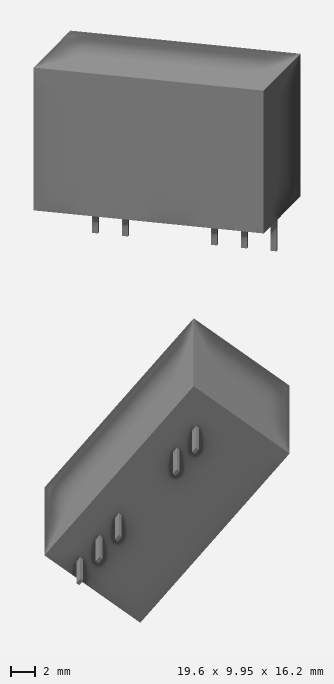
import cadquery as cq

housing_length = 19.65
housing_width = 9.95
overall_height = 16.25
pin_length = 3.99
housing_height = overall_height - pin_length

pin_places = [0, 1, 4, 5, 6]
pin_row_span = 15.25
pin_pitch = pin_row_span / pin_places[-1]
pin_width = 0.51
pin_thickness = 0.3
first_pin_inset = 2.95
pin_row_inset = 2.52
first_pin_x = -housing_length / 2 + first_pin_inset
pin_row_y = housing_width / 2 - pin_row_inset

marker_diameter = 1.5
marker_depth = 0.1
marker_height = 2.12


def make_marker():
    """Thin disc whose outer face lies in the front face of the housing."""
    return (
        cq.Workplane("XZ", origin=(first_pin_x, -housing_width / 2, marker_height))
        .circle(marker_diameter / 2)
        .extrude(-marker_depth)
    )


def make_housing(marker):
    """Plain block with a recess that holds the marker."""
    block = cq.Workplane("XY").box(
        housing_length, housing_width, housing_height, centered=(True, True, False)
    )
    return block.cut(marker)


def make_pin(place):
    """Flat pin hanging from the underside at the given place in the row."""
    pin_x = first_pin_x + place * pin_pitch
    return (
        cq.Workplane("XY", origin=(pin_x, pin_row_y, 0))
        .rect(pin_width, pin_thickness)
        .extrude(-pin_length)
    )


marker = make_marker()
housing = make_housing(marker)
pins = [make_pin(place) for place in pin_places]

result = cq.Compound.makeCompound(
    [housing.val(), marker.val(), *[pin.val() for pin in pins]]
)